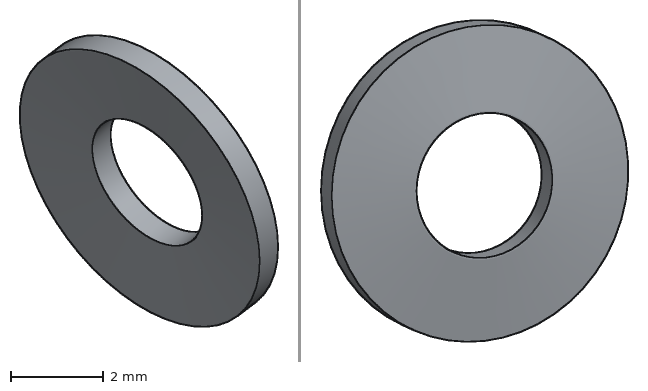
import cadquery as cq

outer_radius = 3.5
hole_radius = 3.2 / 2
overall_height = 0.85
rim_height = 0.6
seat_width = 0.05

cone_rise = overall_height - rim_height
front_y = -overall_height / 2
rim_back_y = front_y + rim_height
back_y = overall_height / 2

section = (
    cq.Workplane("XY")
    .moveTo(outer_radius, front_y)
    .lineTo(outer_radius, rim_back_y)
    .lineTo(hole_radius + seat_width, back_y)
    .lineTo(hole_radius, back_y)
    .lineTo(hole_radius, front_y + cone_rise)
    .lineTo(outer_radius - seat_width, front_y)
    .close()
)

result = section.revolve(360, (0, 0, 0), (0, 1, 0))